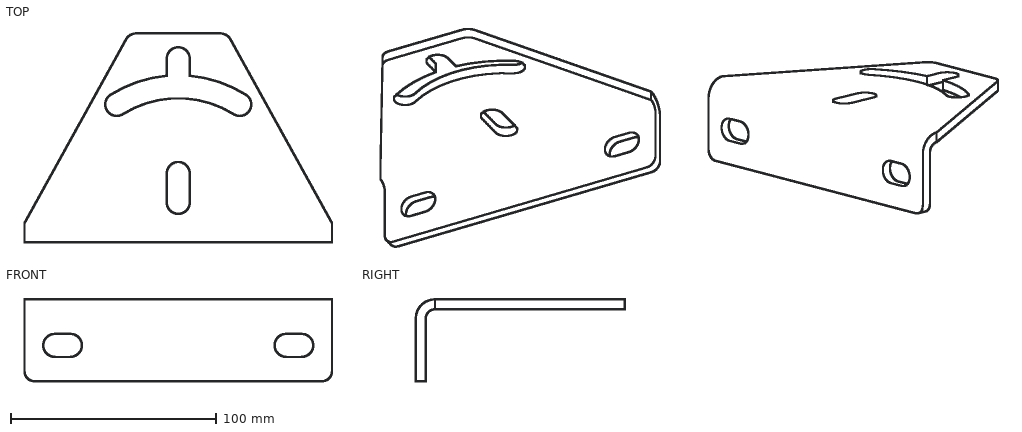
import cadquery as cq
import math

width = 150.0
depth = 102.0
height = 40.0
thickness = 5.0
inner_bend_radius = 4.5
bend_radius = inner_bend_radius + thickness

back_width = 47.7
back_corner_radius = 6.0
flange_corner_radius = 5.0

slot_width = 11.1
slot_radius = slot_width / 2
pivot_slot_front = 14.0
pivot_slot_back = 39.2
pivot_y = pivot_slot_front + slot_radius
arc_radius = 56.4
arc_end_x = 30.0
arc_end_angle = math.asin(arc_end_x / arc_radius)
entry_slot_back = 95.1
mount_slot_length = 18.8
mount_slot_x = 56.4
mount_slot_z = -22.5


def lengthwise_slot(front, back):
    """Cutter for a slot along Y through the horizontal plate."""
    return (
        cq.Workplane("XY", origin=(0, (front + back) / 2, -thickness))
        .slot2D(back - front, slot_width, 90)
        .extrude(thickness)
    )


def arc_slot():
    """Round-ended cutter following an arc around the pivot."""
    def polar(radius, angle):
        return (radius * math.sin(angle), pivot_y + radius * math.cos(angle))

    inner = arc_radius - slot_radius
    outer = arc_radius + slot_radius
    tip_radius = math.hypot(arc_radius, slot_radius)
    tip_angle = arc_end_angle + math.atan(slot_radius / arc_radius)
    return (
        cq.Workplane("XY", origin=(0, 0, -thickness))
        .moveTo(*polar(outer, -arc_end_angle))
        .threePointArc(polar(outer, 0), polar(outer, arc_end_angle))
        .threePointArc(polar(tip_radius, tip_angle), polar(inner, arc_end_angle))
        .threePointArc(polar(inner, 0), polar(inner, -arc_end_angle))
        .threePointArc(polar(tip_radius, -tip_angle), polar(outer, -arc_end_angle))
        .close()
        .extrude(thickness)
    )


plate = (
    cq.Workplane("XY", origin=(0, 0, -thickness))
    .polyline([
        (-width / 2, bend_radius),
        (width / 2, bend_radius),
        (back_width / 2, depth),
        (-back_width / 2, depth),
    ])
    .close()
    .extrude(thickness)
    .edges("|Z and >Y")
    .fillet(back_corner_radius)
)

bend_diagonal = math.sqrt(0.5)
bend = (
    cq.Workplane("YZ", origin=(-width / 2, bend_radius, -bend_radius))
    .moveTo(0, bend_radius)
    .threePointArc((-bend_radius * bend_diagonal, bend_radius * bend_diagonal), (-bend_radius, 0))
    .lineTo(-inner_bend_radius, 0)
    .threePointArc(
        (-inner_bend_radius * bend_diagonal, inner_bend_radius * bend_diagonal),
        (0, inner_bend_radius),
    )
    .close()
    .extrude(width)
)

flange = (
    cq.Workplane("XY", origin=(0, thickness / 2, -height))
    .box(width, thickness, height - bend_radius, centered=(True, True, False))
    .edges("|Y and <Z")
    .fillet(flange_corner_radius)
)

mount_slots = (
    cq.Workplane("XZ", origin=(0, thickness, 0))
    .pushPoints([(side * mount_slot_x, mount_slot_z) for side in (-1, 1)])
    .slot2D(mount_slot_length, slot_width)
    .extrude(thickness)
)

result = (
    plate.union(bend)
    .union(flange)
    .cut(lengthwise_slot(pivot_slot_front, pivot_slot_back))
    .cut(arc_slot())
    .cut(lengthwise_slot(pivot_y + arc_radius - slot_radius, entry_slot_back))
    .cut(mount_slots)
)